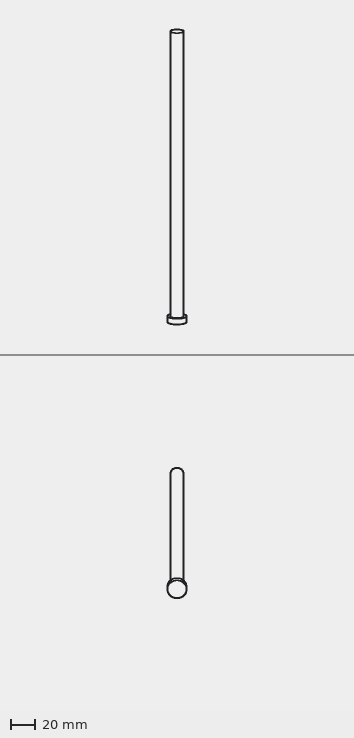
import cadquery as cq

total_length = 250.0
head_diameter = 16.0
head_thickness = 5.0
shank_diameter = 11.0

head = cq.Workplane("XY").circle(head_diameter / 2).extrude(head_thickness)
shank = cq.Workplane("XY").circle(shank_diameter / 2).extrude(total_length)

result = head.union(shank)